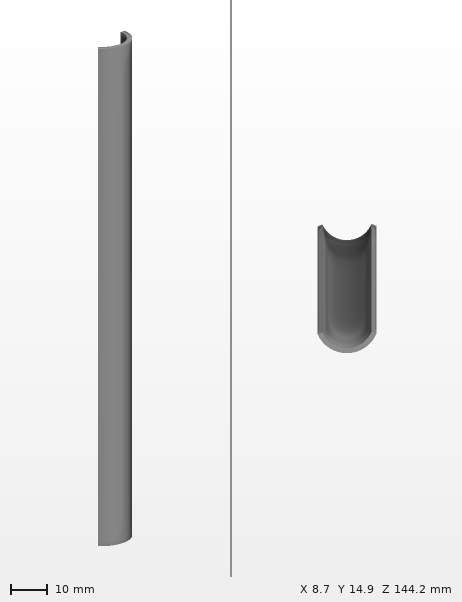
import cadquery as cq
import math

length = 144.2
outer_radius = 8.7
wall = 1.5
inner_radius = outer_radius - wall
start_angle = -45.0
end_angle = 90.0
middle_angle = (start_angle + end_angle) / 2


def polar(radius, angle):
    """Point at a radius and an angle in degrees about the tube axis."""
    return (
        radius * math.cos(math.radians(angle)),
        radius * math.sin(math.radians(angle)),
    )


result = (
    cq.Workplane("XY")
    .moveTo(*polar(outer_radius, start_angle))
    .threePointArc(polar(outer_radius, middle_angle), polar(outer_radius, end_angle))
    .lineTo(*polar(inner_radius, end_angle))
    .threePointArc(polar(inner_radius, middle_angle), polar(inner_radius, start_angle))
    .close()
    .extrude(length)
)